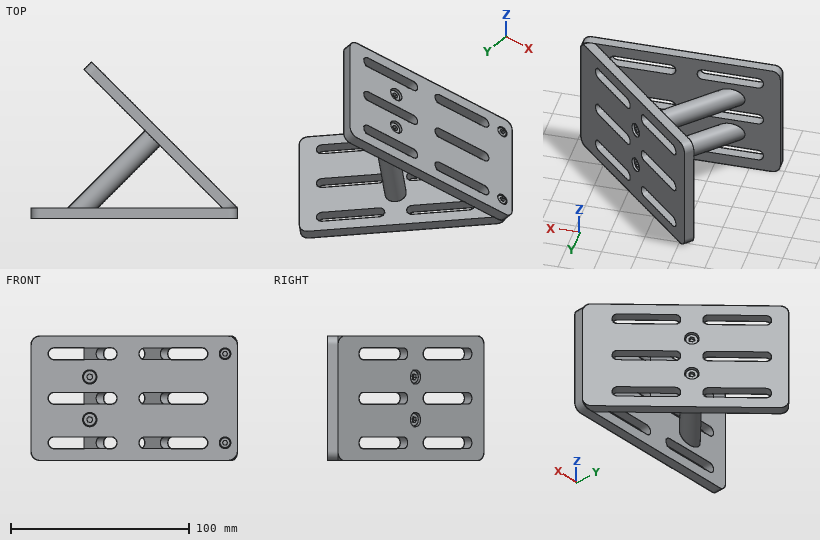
import cadquery as cq
import math

plate_length = 116.0
plate_height = 70.0
plate_thickness = 6.0
corner_radius = 5.0
plate_angle = 45.0

slot_width = 6.5
slot_length = 38.5
slot_columns = (-29.0, 22.0)
slot_rows = (-25.0, 0.0, 25.0)

strut_diameter = 12.0
strut_rows = (-12.0, 12.0)
strut_distance = 61.5
strut_screw_x = -25.0

hinge_screw_x = 51.0
hinge_rows = (-25.0, 25.0)

strut_screw = dict(
    thread=4.0, head=7.0, head_height=4.0, head_round=0.5,
    socket=3.0, socket_depth=2.0, socket_turn=-15.0,
    bore=8.0, bore_depth=5.0, grip=6.0,
)
hinge_screw = dict(
    thread=3.0, head=5.5, head_height=3.0, head_round=0.5,
    socket=2.5, socket_depth=1.5, socket_turn=0.0,
    bore=6.5, bore_depth=3.0, grip=3.0,
)

base_face = cq.Plane(origin=(0, 0, 0), xDir=(1, 0, 0), normal=(0, -1, 0))
lean = math.radians(plate_angle)
tilt_along = cq.Vector(-math.cos(lean), math.sin(lean), 0)
tilt_out = cq.Vector(math.sin(lean), math.cos(lean), 0)
hinge_edge = cq.Vector(plate_length / 2, plate_thickness, 0)
tilted_face = cq.Plane(
    origin=hinge_edge + tilt_along * (plate_length / 2), xDir=tilt_along, normal=tilt_out
)
strut_x = strut_distance - plate_length / 2


def make_plate(face, columns):
    """Slotted plate with rounded corners, lying behind its outer face."""
    blank = (
        cq.Workplane(face)
        .rect(plate_length, plate_height)
        .extrude(-plate_thickness)
        .edges(cq.selectors.ParallelDirSelector(face.zDir))
        .fillet(corner_radius)
    )
    slot_centres = [(x, z) for x in columns for z in slot_rows]
    slots = (
        cq.Workplane(face)
        .pushPoints(slot_centres)
        .slot2D(slot_length, slot_width)
        .extrude(-plate_thickness)
    )
    return blank.cut(slots)


def screw_hole(size, face, x, z):
    """Counterbore and shank hole for one screw."""
    start = cq.Workplane(face).center(x, z)
    bore = start.circle(size["bore"] / 2).extrude(-size["bore_depth"])
    shank = start.circle(size["thread"] / 2).extrude(-plate_thickness - size["grip"])
    return bore.union(shank)


def make_screw(size, face, x, z):
    """Socket head screw seated on the floor of its counterbore."""
    top = size["bore_depth"] - size["head_height"]
    start = cq.Workplane(face).center(x, z).workplane(offset=-top)
    head = (
        start.circle(size["head"] / 2)
        .extrude(-size["head_height"])
        .faces(cq.selectors.DirectionMinMaxSelector(face.zDir, True))
        .edges()
        .fillet(size["head_round"])
    )
    shank = start.circle(size["thread"] / 2).extrude(top - plate_thickness - size["grip"])
    across_corners = size["socket"] / math.cos(math.pi / 6)
    socket = (
        start.transformed(rotate=(0, 0, size["socket_turn"]))
        .polygon(6, across_corners)
        .extrude(-size["socket_depth"])
    )
    return head.union(shank).cut(socket)


def make_strut(z):
    """Round strut square to the tilted plate and cut off flush with the base plate."""
    return (
        cq.Workplane(tilted_face)
        .center(strut_x, z)
        .workplane(offset=-plate_thickness)
        .circle(strut_diameter / 2)
        .extrude(-plate_length)
        .intersect(beyond_base)
    )


reach = 4 * plate_length
beyond_base = (
    cq.Workplane("XY")
    .box(reach, reach, reach, centered=(True, False, True))
    .translate((0, plate_thickness, 0))
)

tilted_columns = [-x for x in slot_columns]
base_plate = make_plate(base_face, slot_columns)
tilted_plate = make_plate(tilted_face, tilted_columns).intersect(beyond_base)
struts = [make_strut(z) for z in strut_rows]

screws = []
for i, z in enumerate(strut_rows):
    base_hole = screw_hole(strut_screw, base_face, strut_screw_x, z)
    tilted_hole = screw_hole(strut_screw, tilted_face, strut_x, z)
    base_plate = base_plate.cut(base_hole)
    tilted_plate = tilted_plate.cut(tilted_hole)
    struts[i] = struts[i].cut(base_hole).cut(tilted_hole)
    screws.append(make_screw(strut_screw, base_face, strut_screw_x, z))
    screws.append(make_screw(strut_screw, tilted_face, strut_x, z))
for z in hinge_rows:
    hinge_hole = screw_hole(hinge_screw, base_face, hinge_screw_x, z)
    base_plate = base_plate.cut(hinge_hole)
    tilted_plate = tilted_plate.cut(hinge_hole)
    screws.append(make_screw(hinge_screw, base_face, hinge_screw_x, z))

bodies = [base_plate, tilted_plate, *struts, *screws]
result = cq.Compound.makeCompound([body.solids().val() for body in bodies])